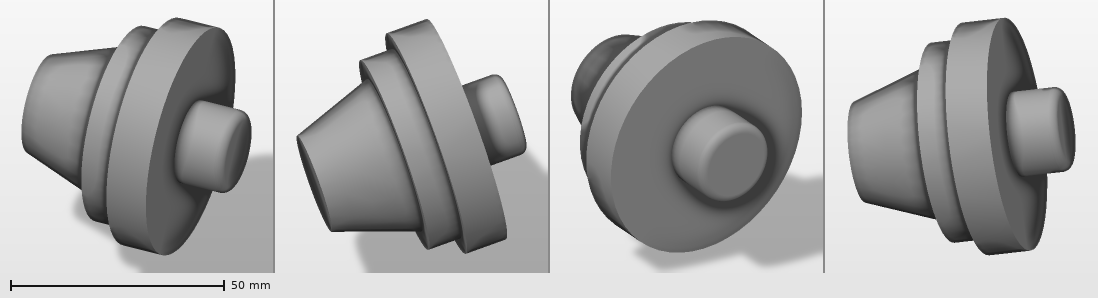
import cadquery as cq

flange_diameter = 55.0
flange_length = 10.0
shoulder_diameter = 47.3
shoulder_length = 8.0
cone_tip_diameter = 24.0
cone_base_diameter = 38.0
cone_length = 20.0
shank_diameter = 20.0
shank_length = 12.0
shank_end_fillet = 2.0

shoulder_start = cone_length
flange_start = shoulder_start + shoulder_length
shank_start = flange_start + flange_length


def cylinder_along_x(start, diameter, length):
    return cq.Workplane("YZ", origin=(start, 0, 0)).circle(diameter / 2).extrude(length)


nose = (
    cq.Workplane("XY")
    .polyline([
        (0, 0),
        (0, cone_tip_diameter / 2),
        (cone_length, cone_base_diameter / 2),
        (cone_length, 0),
    ])
    .close()
    .revolve(360, (0, 0, 0), (1, 0, 0))
)

shoulder = cylinder_along_x(shoulder_start, shoulder_diameter, shoulder_length)
flange = cylinder_along_x(flange_start, flange_diameter, flange_length)

shank = cylinder_along_x(shank_start, shank_diameter, shank_length)
shank = shank.faces(">X").edges().fillet(shank_end_fillet)

result = nose.union(shoulder).union(flange).union(shank)